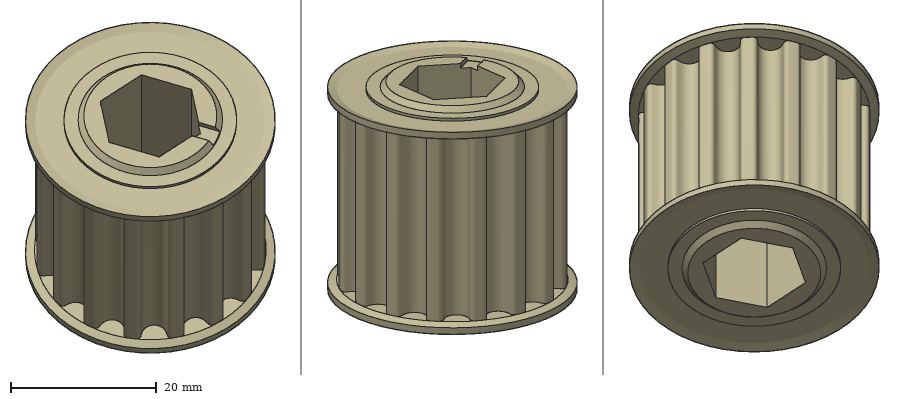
import cadquery as cq
import math

TOTAL_HEIGHT = 31.4
HALF_HEIGHT = TOTAL_HEIGHT / 2

FLANGE_RADIUS = 17.15
FLANGE_THICKNESS = 1.0
OUTER_BEND_RADIUS = 15.75
INNER_BEND_RADIUS = 15.9
RIM_RISE = 0.4

SHOULDER_RADIUS = 11.85
BOSS_BASE_RADIUS = 9.9
BOSS_HEIGHT = 0.8
BOSS_TOP_RADIUS = BOSS_BASE_RADIUS - BOSS_HEIGHT
SHOULDER_Z = HALF_HEIGHT - BOSS_HEIGHT

TEETH_HALF_LENGTH = SHOULDER_Z - RIM_RISE - FLANGE_THICKNESS

TOOTH_COUNT = 16
TIP_RADIUS = 15.85
ROOT_RADIUS = 13.33
GROOVE_RADIUS = 1.7
FLANK_ANGLE = math.radians(16)
TIP_FILLET = 0.6

HEX_CORNER_RADIUS = 7.35
SLOT_WIDTH = 2.55
SLOT_DEPTH = 0.7


def make_groove():
    """Tooth groove on the +X side: a round bottom with straight flanks that open outwards."""
    bottom_centre_x = ROOT_RADIUS + GROOVE_RADIUS
    flank_start_x = bottom_centre_x - GROOVE_RADIUS * math.sin(FLANK_ANGLE)
    flank_start_y = GROOVE_RADIUS * math.cos(FLANK_ANGLE)
    mouth_x = FLANGE_RADIUS
    mouth_y = flank_start_y + (mouth_x - flank_start_x) * math.tan(FLANK_ANGLE)
    return (
        cq.Workplane("XY")
        .workplane(offset=-TEETH_HALF_LENGTH)
        .moveTo(mouth_x, -mouth_y)
        .lineTo(flank_start_x, -flank_start_y)
        .threePointArc((ROOT_RADIUS, 0), (flank_start_x, flank_start_y))
        .lineTo(mouth_x, mouth_y)
        .close()
        .extrude(2 * TEETH_HALF_LENGTH)
    )


def is_tip_edge(edge):
    """True for an edge that lies on the cylinder through the tooth tips."""
    centre = edge.Center()
    return math.isclose(math.hypot(centre.x, centre.y), TIP_RADIUS, rel_tol=1e-4)


def make_toothed_core():
    """Cylinder with evenly spaced grooves and rounded tooth tips."""
    core = (
        cq.Workplane("XY")
        .workplane(offset=-TEETH_HALF_LENGTH)
        .circle(TIP_RADIUS)
        .extrude(2 * TEETH_HALF_LENGTH)
    )
    groove = make_groove()
    for index in range(TOOTH_COUNT):
        core = core.cut(groove.rotate((0, 0, 0), (0, 0, 1), index * 360 / TOOTH_COUNT))
    return core.edges("|Z").filter(is_tip_edge).fillet(TIP_FILLET)


def make_hub():
    """Turned hub with a shoulder and a conical boss at both ends."""
    return (
        cq.Workplane("XZ")
        .moveTo(0, -HALF_HEIGHT)
        .lineTo(-BOSS_TOP_RADIUS, -HALF_HEIGHT)
        .lineTo(-BOSS_BASE_RADIUS, -SHOULDER_Z)
        .lineTo(-SHOULDER_RADIUS, -SHOULDER_Z)
        .lineTo(-SHOULDER_RADIUS, SHOULDER_Z)
        .lineTo(-BOSS_BASE_RADIUS, SHOULDER_Z)
        .lineTo(-BOSS_TOP_RADIUS, HALF_HEIGHT)
        .lineTo(0, HALF_HEIGHT)
        .close()
        .revolve(360, (0, 0, 0), (0, 1, 0))
    )


def make_pulley():
    """Toothed core and hub in one piece, with the hexagonal bore and key slot."""
    hex_bore = (
        cq.Workplane("XY")
        .workplane(offset=-HALF_HEIGHT)
        .polygon(6, 2 * HEX_CORNER_RADIUS)
        .extrude(TOTAL_HEIGHT)
    )
    key_slot = (
        cq.Workplane("XY")
        .workplane(offset=HALF_HEIGHT - SLOT_DEPTH)
        .center(BOSS_BASE_RADIUS / 2, 0)
        .rect(BOSS_BASE_RADIUS, SLOT_WIDTH)
        .extrude(SLOT_DEPTH)
    )
    return make_toothed_core().union(make_hub()).cut(hex_bore).cut(key_slot)


def make_flange(end):
    """Dished flange disc; end is +1 for the top of the pulley and -1 for the bottom."""
    inner_z = end * TEETH_HALF_LENGTH
    outer_z = end * (TEETH_HALF_LENGTH + FLANGE_THICKNESS)
    rise = end * RIM_RISE
    return (
        cq.Workplane("XZ")
        .moveTo(-SHOULDER_RADIUS, inner_z)
        .lineTo(-INNER_BEND_RADIUS, inner_z)
        .lineTo(-FLANGE_RADIUS, inner_z + rise)
        .lineTo(-FLANGE_RADIUS, outer_z + rise)
        .lineTo(-OUTER_BEND_RADIUS, outer_z)
        .lineTo(-SHOULDER_RADIUS, outer_z)
        .close()
        .revolve(360, (0, 0, 0), (0, 1, 0))
    )


pulley = make_pulley()
flanges = [make_flange(end) for end in (1, -1)]

result = cq.Compound.makeCompound([pulley.val(), *[flange.val() for flange in flanges]])